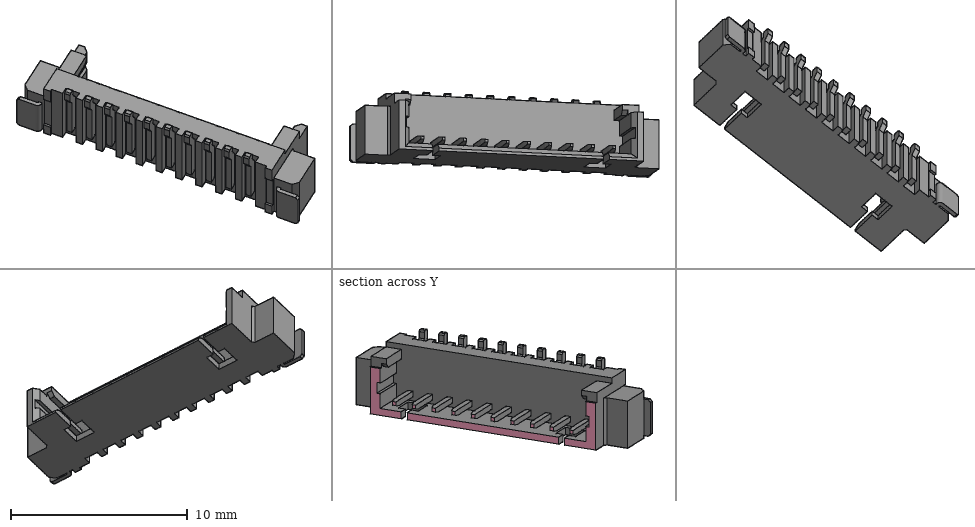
import cadquery as cq
import math


length = 17.65
depth = 4.75
body_half_length = 7.17

base_front = 0.28
base_back = 1.84
base_height = 3.72

wall_inner_x = 6.51
low_wall_height = 2.82
high_wall_height = 3.4
high_wall_back = 3.72
overhang_inner_x = 6.2
overhang_chamfer = 0.26
floor_thickness = 0.45
mouth_flare_depth = 0.32
mouth_flare_width = 0.28
mouth_flare_drop = 0.28
key_groove_bottom = 1.32
key_groove_top = 1.95
key_groove_depth = 0.2

window_front = 2.14
window_back = 3.32
slit_width = 0.35

pin_count = 10
pin_row_length = 11.25
pin_pitch = pin_row_length / (pin_count - 1)
pin_width = 0.34
pin_bottom = 0.69
pin_top = 4.2
tail_thickness = 0.42
tail_chamfer = 0.09
tail_bend_z = 3.6
tail_slope_height = 0.42
strip_front = 0.28
post_shoulder = 3.58
post_tip = 4.08
post_tip_width = 0.16

groove_width = 0.85
groove_floor = 0.7

pad_front = 0.12
pad_width = 0.42
raised_front = 0.25
lower_pad_height = 0.69

ear_half_length = 8.61
ear_front = 0.37
ear_back = 2.72
ear_front_chamfer = 0.32
ear_root_chamfer = 0.15

tab_front = 0.05
tab_thickness = 0.23
tab_height = 2.19
tab_corner = 0.15
tab_inner_x = 7.38
tab_bend_radius = 0.25

pin_positions = [(i - (pin_count - 1) / 2) * pin_pitch for i in range(pin_count)]


def block(x0, x1, y0, y1, z0, z1):
    """Box between two opposite corners."""
    return cq.Workplane("XY").box(x1 - x0, y1 - y0, z1 - z0, centered=False).translate((x0, y0, z0))


def both_ends(shape):
    """The shape at the -X end together with its mirror image at the +X end."""
    return shape.union(shape.mirror("YZ"))


def make_base():
    base = block(-body_half_length, body_half_length, base_front, base_back, 0, base_height)
    for x in pin_positions:
        half = groove_width / 2
        base = base.cut(block(x - half, x + half, base_front, groove_floor, 0, base_height))
    outer = -body_half_length
    inner = outer + pad_width
    pads = block(outer, inner, pad_front, base_front, 0, lower_pad_height)
    pads = pads.union(block(outer, inner, pad_front, base_front, low_wall_height, base_height))
    pads = pads.union(block(outer, inner, raised_front, base_front, 0, base_height))
    return base.union(both_ends(pads))


def make_end_wall():
    """Shroud wall at the -X end with its overhang and key groove."""
    outer = -body_half_length
    inner = -wall_inner_x
    flare_start = depth - mouth_flare_depth
    wall = (
        cq.Workplane("XY")
        .moveTo(outer, base_back)
        .lineTo(inner, base_back)
        .lineTo(inner, flare_start)
        .lineTo(inner - mouth_flare_width, depth)
        .lineTo(outer, depth)
        .close()
        .extrude(low_wall_height)
    )
    high_wall = block(outer, inner, base_back, high_wall_back, low_wall_height, high_wall_height)
    overhang = (
        block(inner, -overhang_inner_x, base_back, high_wall_back, low_wall_height, high_wall_height)
        .edges("|X and >Y and <Z")
        .chamfer(overhang_chamfer)
    )
    key_groove = block(
        inner - key_groove_depth, inner, base_back, depth, key_groove_bottom, key_groove_top
    )
    return wall.union(high_wall).union(overhang).cut(key_groove)


def make_floor():
    """Shroud floor, sloping down at the mouth, with a window and slit near each end."""
    flare_start = depth - mouth_flare_depth
    floor = (
        cq.Workplane("YZ")
        .moveTo(base_back, 0)
        .lineTo(depth, 0)
        .lineTo(depth, floor_thickness - mouth_flare_drop)
        .lineTo(flare_start, floor_thickness)
        .lineTo(base_back, floor_thickness)
        .close()
        .extrude(body_half_length, both=True)
    )
    first_pin, second_pin = pin_positions[:2]
    middle = (first_pin + second_pin) / 2
    openings = block(first_pin, second_pin, window_front, window_back, 0, floor_thickness)
    openings = openings.union(
        block(middle - slit_width / 2, middle + slit_width / 2, window_back, depth, 0, floor_thickness)
    )
    return floor.cut(both_ends(openings))


def make_ear():
    """Side ear at the -X end."""
    outer = -ear_half_length
    root = -body_half_length
    return (
        cq.Workplane("XY")
        .moveTo(root, ear_front)
        .lineTo(outer + ear_front_chamfer, ear_front)
        .lineTo(outer, ear_front + ear_front_chamfer)
        .lineTo(outer, ear_back)
        .lineTo(root - ear_root_chamfer, ear_back)
        .lineTo(root, ear_back + ear_root_chamfer)
        .close()
        .extrude(low_wall_height)
    )


def make_tab():
    """Solder tab at the -X end, bent round into the front of the ear."""
    outer = -length / 2
    tab_back = tab_front + tab_thickness
    bend_x = -tab_inner_x - tab_bend_radius
    bend_y = tab_front + tab_bend_radius
    inner_radius = tab_bend_radius - tab_thickness
    diagonal = math.sqrt(0.5)
    return (
        cq.Workplane("XY")
        .moveTo(outer, tab_front)
        .lineTo(bend_x, tab_front)
        .threePointArc(
            (bend_x + tab_bend_radius * diagonal, bend_y - tab_bend_radius * diagonal),
            (-tab_inner_x, bend_y),
        )
        .lineTo(-tab_inner_x, ear_front)
        .lineTo(bend_x + inner_radius, ear_front)
        .lineTo(bend_x + inner_radius, bend_y)
        .threePointArc(
            (bend_x + inner_radius * diagonal, bend_y - inner_radius * diagonal),
            (bend_x, tab_back),
        )
        .lineTo(outer, tab_back)
        .close()
        .extrude(tab_height)
        .edges("|Y and <X")
        .chamfer(tab_corner)
    )


def make_pin():
    """Pin at X = 0: upright strip with an offset tail on top and a pointed post towards +Y."""
    strip_back = strip_front + tail_thickness
    slope_angle = math.atan2(strip_front, tail_slope_height)
    back_bend_z = tail_bend_z + tail_thickness * math.tan(slope_angle / 2)
    strip = (
        cq.Workplane("YZ")
        .moveTo(0, tail_bend_z)
        .lineTo(0, pin_top - tail_chamfer)
        .lineTo(tail_chamfer, pin_top)
        .lineTo(tail_thickness - tail_chamfer, pin_top)
        .lineTo(tail_thickness, pin_top - tail_chamfer)
        .lineTo(tail_thickness, back_bend_z)
        .lineTo(strip_back, back_bend_z - tail_slope_height)
        .lineTo(strip_back, pin_bottom)
        .lineTo(strip_front, pin_bottom)
        .lineTo(strip_front, tail_bend_z - tail_slope_height)
        .close()
        .extrude(pin_width / 2, both=True)
    )
    half = pin_width / 2
    post = block(-half, half, strip_back, post_shoulder, pin_bottom, pin_bottom + pin_width)
    tip_length = post_tip - post_shoulder
    tip_taper = math.degrees(math.atan2((pin_width - post_tip_width) / 2, tip_length))
    shoulder_edges = post.faces(">Y").wires().toPending().workplane()
    tip = shoulder_edges.extrude(tip_length, taper=tip_taper, combine=False)
    return strip.union(post).union(tip)


result = make_base().union(make_floor())
for end_part in (make_end_wall(), make_ear(), make_tab()):
    result = result.union(both_ends(end_part))

pin = make_pin()
for x in pin_positions:
    result = result.union(pin.translate((x, 0, 0)))